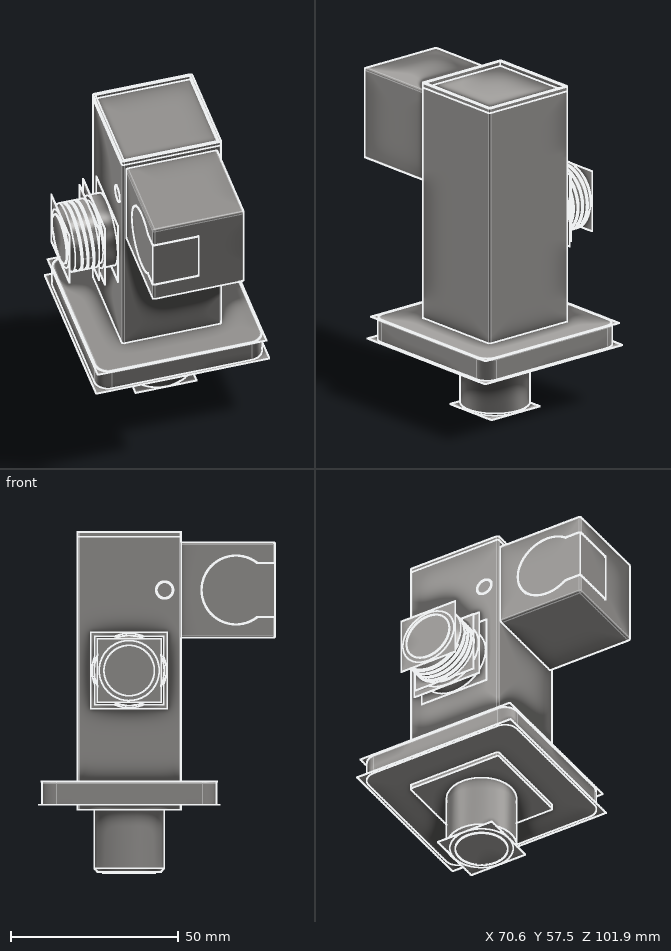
import cadquery as cq

SHEET = 0.1

POST_SIDE = 31.0
POST_BOTTOM = 19.0
POST_TOP = 101.9
RIM_HEIGHT = 1.4
RIM_WALL = 0.7
EDGE_RADIUS = 0.6

PLATE_SIDE = 52.2
PLATE_BOTTOM = 20.4
PLATE_TOP = 27.5
PLATE_CORNER_RADIUS = 4.3
PLATE_TOP_SHEET_SIDE = 52.6
PLATE_BOTTOM_SHEET_SIDE = 54.0

PIPE_RADIUS = 10.5
PIPE_CHAMFER = 1.1
END_SHEET_SIDE = 19.1
PIPE_PLUG_RADIUS = 7.8
PLUG_PROUD = 0.3
PLUG_LENGTH = 3.1

OUTLET_Z = 60.5
COLLAR_RADIUS = 11.1
COLLAR_END = -19.7
COLLAR_SHEET_SIDE = 22.8
NECK_RADIUS = 9.6
NECK_END = -21.1
THREAD_SHEET_SIDE = 20.6
THREAD_RADIUS = 10.5
THREAD_PITCH = 1.8
THREAD_TURNS = 3.5
THREAD_LEAD_IN = 0.6
THREAD_START_ANGLE = 150
GROOVE_DEPTH = 0.4
GROOVE_HALF_WIDTH = 0.4
GROOVE_OVERSHOOT = 0.2
OUTLET_TIP = -30.5
OUTLET_CHAMFER = 1.6
OUTLET_PLUG_RADIUS = 7.5

BUTTON_RADIUS = 2.3
BUTTON_GAP = 0.3
BUTTON_X = 10.6
BUTTON_DEPTH = 2.0

BLOCK_RIGHT = 43.6
BLOCK_SIDE = 28.5
BLOCK_TOP = 98.8
KEYHOLE_RADIUS = 10.4
KEYHOLE_X = 31.9
KEYHOLE_HEIGHT = 16.3
KEYHOLE_DEPTH = BLOCK_SIDE / 2
KEYHOLE_GAP = 0.2

POST_FACE = POST_SIDE / 2
RIM_BOTTOM = POST_TOP - RIM_HEIGHT
RIM_OPENING = POST_SIDE - 2 * RIM_WALL
BLOCK_Z = BLOCK_TOP - BLOCK_SIDE / 2
BLOCK_LENGTH = BLOCK_RIGHT - POST_FACE
PIPE_END = PLUG_PROUD
OUTLET_END = OUTLET_TIP + PLUG_PROUD
TOP_SHEET_BOTTOM = PLATE_TOP - 2 * SHEET


def square_bar(side, z_low, z_high):
    """Upright square bar centred on the post axis."""
    return cq.Workplane("XY").workplane(offset=z_low).rect(side, side).extrude(z_high - z_low)


def outlet_disc(radius, y_back, y_front):
    """Round bar along the outlet axis, from y_back forward (toward -Y) to y_front."""
    return cq.Workplane("XZ", origin=(0, y_back, OUTLET_Z)).circle(radius).extrude(y_back - y_front)


def outlet_sheet(side, y_front):
    """Thin square sheet across the outlet axis with its front face at y_front."""
    return cq.Workplane("XZ", origin=(0, y_front + SHEET, OUTLET_Z)).rect(side, side).extrude(SHEET)


def make_post():
    """Square post with a blind hole for the button."""
    post = square_bar(POST_SIDE, POST_BOTTOM, RIM_BOTTOM).edges("|Z").fillet(EDGE_RADIUS)
    return post.cut(button_shape(BUTTON_RADIUS + BUTTON_GAP))


def make_rim():
    """Square frame that stands on the post."""
    rim = square_bar(POST_SIDE, RIM_BOTTOM, POST_TOP).edges("|Z").fillet(EDGE_RADIUS)
    return rim.cut(square_bar(RIM_OPENING, RIM_BOTTOM, POST_TOP))


def make_plate():
    """Base plate round the post, with a thin square sheet near its top and at its bottom."""
    plate = square_bar(PLATE_SIDE, PLATE_BOTTOM, PLATE_TOP)
    plate = plate.edges("|Z").fillet(PLATE_CORNER_RADIUS).faces(">Z").edges().fillet(EDGE_RADIUS)
    top_sheet = square_bar(PLATE_TOP_SHEET_SIDE, TOP_SHEET_BOTTOM, TOP_SHEET_BOTTOM + SHEET)
    bottom_sheet = square_bar(PLATE_BOTTOM_SHEET_SIDE, PLATE_BOTTOM, PLATE_BOTTOM + SHEET)
    post_hole = square_bar(POST_SIDE, PLATE_BOTTOM, PLATE_TOP).edges("|Z").fillet(EDGE_RADIUS)
    return plate.union(top_sheet).union(bottom_sheet).cut(post_hole)


def pipe_plug_shape():
    """Plug in the bottom of the pipe; it also cuts its own bore."""
    return cq.Workplane("XY").circle(PIPE_PLUG_RADIUS).extrude(PLUG_LENGTH)


def make_pipe():
    """Round pipe under the post."""
    end_plane = cq.Workplane("XY").workplane(offset=PIPE_END)
    pipe = end_plane.circle(PIPE_RADIUS).extrude(POST_BOTTOM - PIPE_END)
    pipe = pipe.faces("<Z").chamfer(PIPE_CHAMFER)
    sheet = square_bar(END_SHEET_SIDE, PIPE_END, PIPE_END + SHEET)
    return pipe.union(sheet).cut(pipe_plug_shape())


def outlet_plug_shape():
    """Plug in the tip of the outlet; it also cuts its own bore."""
    return outlet_disc(OUTLET_PLUG_RADIUS, OUTLET_TIP + PLUG_LENGTH, OUTLET_TIP)


def thread_groove():
    """Right-handed helical V-groove that forms the outlet thread."""
    helix = cq.Wire.makeHelix(THREAD_PITCH, THREAD_TURNS * THREAD_PITCH, THREAD_RADIUS)
    profile = cq.Workplane("XZ").polyline([
        (THREAD_RADIUS - GROOVE_DEPTH, 0),
        (THREAD_RADIUS + GROOVE_OVERSHOOT, GROOVE_HALF_WIDTH),
        (THREAD_RADIUS + GROOVE_OVERSHOOT, -GROOVE_HALF_WIDTH),
    ]).close()
    groove = profile.sweep(cq.Workplane(helix), isFrenet=True)
    groove = groove.rotate((0, 0, 0), (0, 0, 1), THREAD_START_ANGLE)
    groove = groove.rotate((0, 0, 0), (1, 0, 0), 90)
    return groove.translate((0, NECK_END - THREAD_LEAD_IN, OUTLET_Z))


def make_outlet():
    """Collar, neck and threaded nipple on the front of the post, with the thin square sheets."""
    collar = outlet_disc(COLLAR_RADIUS, -POST_FACE, COLLAR_END)
    neck = outlet_disc(NECK_RADIUS, COLLAR_END, NECK_END)
    nipple = outlet_disc(THREAD_RADIUS, NECK_END, OUTLET_END).faces("<Y").chamfer(OUTLET_CHAMFER)
    nipple = nipple.cut(thread_groove())
    outlet = collar.union(neck).union(nipple)
    sheets = [
        (COLLAR_SHEET_SIDE, -POST_FACE - SHEET),
        (COLLAR_SHEET_SIDE, COLLAR_END),
        (THREAD_SHEET_SIDE, NECK_END),
        (END_SHEET_SIDE, OUTLET_END),
    ]
    for side, y_front in sheets:
        outlet = outlet.union(outlet_sheet(side, y_front))
    return outlet.cut(outlet_plug_shape())


def button_shape(radius):
    """Round plug shape going into the front face of the post."""
    front = cq.Workplane("XZ", origin=(BUTTON_X, -POST_FACE, BLOCK_Z))
    return front.circle(radius).extrude(-BUTTON_DEPTH)


def keyhole_shape(radius, height):
    """Disc with a slot running out to the right end, going into the front face of the block."""
    front = cq.Workplane("XZ", origin=(KEYHOLE_X, -BLOCK_SIDE / 2, BLOCK_Z))
    slot_length = BLOCK_RIGHT - KEYHOLE_X
    slot = front.center(slot_length / 2, 0).rect(slot_length, height).extrude(-KEYHOLE_DEPTH)
    return front.circle(radius).extrude(-KEYHOLE_DEPTH).union(slot)


def make_block():
    """Side block with the keyhole recess in its front face."""
    front = cq.Workplane("YZ", origin=(POST_FACE, 0, BLOCK_Z))
    block = front.rect(BLOCK_SIDE, BLOCK_SIDE).extrude(BLOCK_LENGTH)
    block = block.edges("|X or >X").fillet(EDGE_RADIUS)
    return block.cut(keyhole_shape(KEYHOLE_RADIUS, KEYHOLE_HEIGHT))


def make_insert():
    """Keyhole filler, flush with the block and clear of the recess walls."""
    return keyhole_shape(KEYHOLE_RADIUS - KEYHOLE_GAP, KEYHOLE_HEIGHT - 2 * KEYHOLE_GAP)


post = make_post()
rim = make_rim()
plate = make_plate()
pipe = make_pipe()
pipe_plug = pipe_plug_shape()
outlet = make_outlet()
outlet_plug = outlet_plug_shape()
button = button_shape(BUTTON_RADIUS)
block = make_block()
insert = make_insert()

result = cq.Compound.makeCompound([
    post.val(), rim.val(), plate.val(), pipe.val(), pipe_plug.val(),
    outlet.val(), outlet_plug.val(), button.val(), block.val(), insert.val(),
])